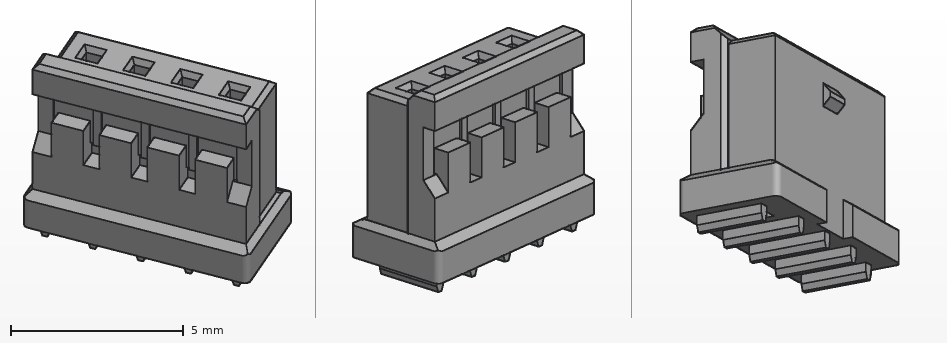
import cadquery as cq


flange_length = 7.1
flange_width = 3.35
flange_wall_height = 1.0
flange_top = 1.2
flange_corner_radius = 0.2
flange_floor = 1.1

front_length = 6.7
rear_length = 6.3
housing_width = 2.72
rear_top = 5.21
ridge_top = 5.71
edge_chamfer = 0.15
half_split_y = -0.2
front_face_y = -housing_width / 2
rear_face_y = housing_width / 2

contact_count = 4
outer_blade_spacing = 6.01
pitch = outer_blade_spacing / contact_count
contact_hole_y = 0.4
contact_hole_size = 0.5
contact_mouth_size = 0.695
contact_mouth_depth = 0.2

recess_depth = 0.43
recess_top = 4.66
recess_bottom = 3.01
slope_foot = 2.55
tooth_width = 1.0
tooth_top = 3.8
pocket_width = 1.25
pocket_depth = 0.52
slot_depth = 0.64

latch_length = 0.825
latch_reach = 0.25
latch_root_bottom = 3.71
latch_tip_bottom = 3.96
latch_tip_top = 4.125
latch_root_top = 4.42
notch_length = 1.49

blade_count = contact_count + 1
blade_thickness = 0.3
blade_tip_thickness = 0.155
blade_height = 0.49
blade_straight_height = 0.29
blade_end_y = 1.265
outer_blade_rear_y = 0.895


def row_positions(count):
    """X positions of a centred row with the contact pitch."""
    return [(i - (count - 1) / 2) * pitch for i in range(count)]


def box(length, y_min, y_max, z_min, z_max, x=0.0):
    """Box centred on x, between the given Y and Z limits."""
    block = cq.Workplane("XY").box(length, y_max - y_min, z_max - z_min, centered=(True, False, False))
    return block.translate((x, y_min, z_min))


def side_profile(points, length):
    """Outline of (Y, Z) points extruded symmetrically along X."""
    return cq.Workplane("YZ").polyline(points).close().extrude(length / 2, both=True)


def make_flange():
    half_width = flange_width / 2
    wall = box(flange_length, -half_width, half_width, 0, flange_top)
    wall = wall.edges("|Z").fillet(flange_corner_radius)
    base = box(flange_length, -half_width, half_width, 0, flange_wall_height)
    sloped_top = (
        cq.Workplane("XY", origin=(0, 0, flange_wall_height))
        .rect(flange_length, flange_width)
        .workplane(offset=flange_top - flange_wall_height)
        .rect(front_length, housing_width)
        .loft(ruled=True)
    )
    notch = box(notch_length, rear_face_y, half_width, 0, flange_top)
    well = box(front_length, front_face_y, rear_face_y, flange_floor, flange_top)
    return base.union(sloped_top).intersect(wall).cut(notch).cut(well)


def make_front_half():
    ridge_rear_y = half_split_y - (ridge_top - rear_top)
    outline = [
        (half_split_y, 0),
        (half_split_y, rear_top),
        (ridge_rear_y, ridge_top),
        (front_face_y + edge_chamfer, ridge_top),
        (front_face_y, ridge_top - edge_chamfer),
        (front_face_y, 0),
    ]
    half = side_profile(outline, front_length)
    half = half.faces(">Z").edges("|Y").chamfer(edge_chamfer)
    return half.faces(">Y").edges("|Z").chamfer(edge_chamfer)


def make_rear_half():
    half = box(rear_length, half_split_y, rear_face_y, 0, rear_top)
    return half.faces(">Z").edges("<X or >X or >Y").chamfer(edge_chamfer)


def make_recess():
    """Material removed from the front face, leaving the teeth standing."""
    recess_y = front_face_y + recess_depth
    outline = [
        (front_face_y, recess_top),
        (recess_y, recess_top),
        (recess_y, recess_bottom),
        (front_face_y, slope_foot),
    ]
    recess = side_profile(outline, front_length)
    for x in row_positions(contact_count):
        pocket_y = front_face_y + pocket_depth
        recess = recess.union(box(pocket_width, front_face_y, pocket_y, recess_bottom, recess_top, x))
    for x in row_positions(contact_count - 1):
        slot_y = front_face_y + slot_depth
        slot_width = pitch - tooth_width
        recess = recess.union(box(slot_width, front_face_y, slot_y, slope_foot, recess_bottom, x))
    for x in row_positions(contact_count):
        tooth_root_y = front_face_y + pocket_depth
        recess = recess.cut(box(tooth_width, front_face_y, tooth_root_y, slope_foot, tooth_top, x))
    return recess


def make_contact_hole(x):
    mouth = (
        cq.Workplane("XY", origin=(x, contact_hole_y, rear_top))
        .rect(contact_mouth_size, contact_mouth_size)
        .workplane(offset=-contact_mouth_depth)
        .rect(contact_hole_size, contact_hole_size)
        .loft(ruled=True)
    )
    shaft = cq.Workplane("XY").center(x, contact_hole_y).rect(contact_hole_size, contact_hole_size)
    return mouth.union(shaft.extrude(rear_top))


def make_latch():
    tip_y = rear_face_y + latch_reach
    outline = [
        (rear_face_y, latch_root_bottom),
        (tip_y, latch_tip_bottom),
        (tip_y, latch_tip_top),
        (rear_face_y, latch_root_top),
    ]
    return side_profile(outline, latch_length)


def make_blade(x, rear_y):
    """Blade running along Y, with its lower edge tapered on both sides."""
    half = blade_thickness / 2
    half_tip = blade_tip_thickness / 2
    outline = [
        (x - half, 0),
        (x - half, -blade_straight_height),
        (x - half_tip, -blade_height),
        (x + half_tip, -blade_height),
        (x + half, -blade_straight_height),
        (x + half, 0),
    ]
    start = cq.Workplane("XZ", origin=(0, rear_y, 0))
    return start.polyline(outline).close().extrude(rear_y + blade_end_y)


result = make_flange().union(make_front_half()).union(make_rear_half())
result = result.cut(make_recess()).union(make_latch())
for hole_x in row_positions(contact_count):
    result = result.cut(make_contact_hole(hole_x))

blade_row = row_positions(blade_count)
for blade_x in blade_row:
    is_outermost = blade_x in (blade_row[0], blade_row[-1])
    blade_rear_y = outer_blade_rear_y if is_outermost else blade_end_y
    result = result.union(make_blade(blade_x, blade_rear_y))